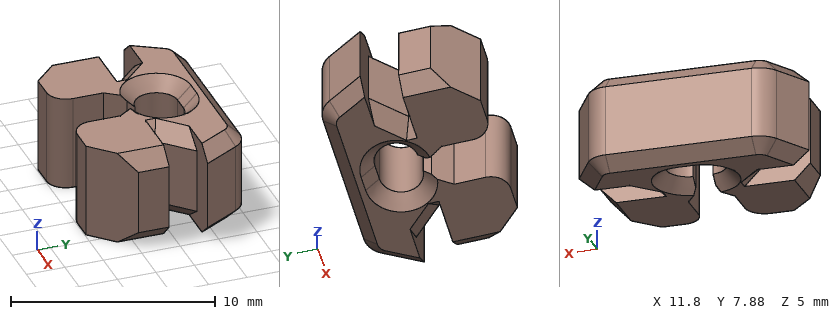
import cadquery as cq
import math

length = 11.8
depth = 7.88
height = 5.0

wing_bottom = 5.4
wing_angle = math.radians(30)
wing_radius = 1.25
wing_chamfer = 0.7

neck_half_width = 2.81
neck_flare_start = 3.8
neck_chamfer = 0.8

jaw_half_width = 5.38
jaw_top = 3.6
jaw_bevel = 2.0
jaw_chamfer = 0.8

slot_half_width = 1.19
slot_straight_end = 2.6
mouth_half_width = 0.51
mouth_start = 3.56
slot_edge_radius = 1.0

bore_radius = 1.1
bore_center_spacing = 0.83
bore_y = 5.07
countersink = 0.7


def prism(points):
    """Extrude a closed XY outline through the full height, centred on Z = 0."""
    return cq.Workplane("XY").polyline(points).close().extrude(height / 2, both=True)


def symmetric_prism(right_side):
    """Extrude a right-hand outline, given from front to back, with its mirror image."""
    left_side = [(-x, y) for x, y in reversed(right_side)]
    return prism(right_side + left_side)


def make_wing():
    half_length = length / 2
    back_half_width = half_length - (depth - wing_bottom) * math.tan(wing_angle)
    wing = symmetric_prism([(half_length, wing_bottom), (back_half_width, depth)])
    wing = wing.edges("|Z and >Y").fillet(wing_radius)
    return wing.faces("|Z").edges("not <Y").chamfer(wing_chamfer)


def make_neck():
    flare = wing_bottom - neck_flare_start
    neck = symmetric_prism([
        (neck_half_width, jaw_top / 2),
        (neck_half_width, neck_flare_start),
        (neck_half_width + flare, wing_bottom),
    ])
    return neck.faces("|Z").edges("not(<Y or >Y)").chamfer(neck_chamfer)


def make_jaws():
    jaws = symmetric_prism([
        (jaw_half_width - jaw_bevel, 0),
        (jaw_half_width, jaw_bevel),
        (jaw_half_width, jaw_top),
    ])
    return jaws.faces("|Z").edges("<X or >X").chamfer(jaw_chamfer)


def make_slot():
    return symmetric_prism([
        (slot_half_width, 0),
        (slot_half_width, slot_straight_end),
        (mouth_half_width, mouth_start),
        (mouth_half_width, bore_y),
    ])


def make_bore():
    bore_length = bore_center_spacing + 2 * bore_radius
    bore = (
        cq.Workplane("XY")
        .center(0, bore_y)
        .slot2D(bore_length, 2 * bore_radius)
        .extrude(height / 2, both=True)
    )
    for side in (-1, 1):
        flare = (
            cq.Workplane("XY", origin=(0, bore_y, side * height / 2))
            .slot2D(bore_length + 2 * countersink, 2 * (bore_radius + countersink))
            .extrude(-side * countersink, taper=45)
        )
        bore = bore.union(flare)
    return bore


body = make_wing().union(make_neck()).union(make_jaws())
body = body.cut(make_slot())

slot_edges = cq.selectors.BoxSelector(
    (-slot_half_width - 0.12, -0.12, -height),
    (slot_half_width + 0.12, 0.12, height),
)
body = body.edges("|Z").edges(slot_edges).fillet(slot_edge_radius)

result = body.cut(make_bore())